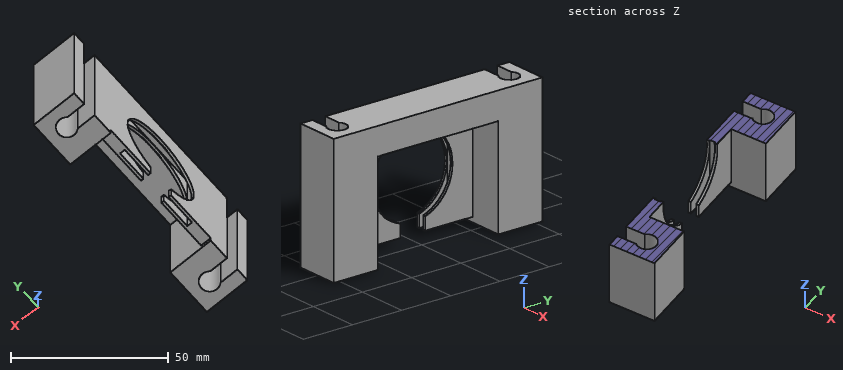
import cadquery as cq

depth = 17.0
width = 85.0
height = 49.5

bore_radius = 16.2
bore_height = 22.4
mouth_width = 10.0

web_thickness = 1.0
gap_depth = 1.95
gap_side_clearance = 0.25
gap_width = 2 * (bore_radius + gap_side_clearance)
rear_web_start = web_thickness + gap_depth
cavity_start = rear_web_start + web_thickness

recess_width = 49.0
recess_height = 2.0
cavity_top = bore_height + gap_width / 2

keyhole_offset = 35.0
keyhole_radius = 3.5
keyhole_center_depth = 9.4
keyhole_slot_width = 5.1


def cutter(x_start, x_end, y_width, z_top):
    """Box centred on Y that rises from the underside."""
    box = cq.Workplane("XY").box(x_end - x_start, y_width, z_top, centered=(False, True, False))
    return box.translate((x_start, 0, 0))


def keyhole(y_center):
    """Full-height round hole joined to the -X face by a straight slot."""
    hole = cq.Workplane("XY").center(keyhole_center_depth, y_center).circle(keyhole_radius).extrude(height)
    slot = cutter(0, keyhole_center_depth, keyhole_slot_width, height).translate((0, y_center, 0))
    return hole.union(slot)


body = cutter(0, depth, width, height)

body = body.cut(cutter(0, depth, recess_width, recess_height))
bore = cq.Workplane("YZ").center(0, bore_height).circle(bore_radius).extrude(depth)
body = body.cut(bore)
body = body.cut(cutter(0, depth, mouth_width, bore_height))

body = body.cut(cutter(web_thickness, rear_web_start, gap_width, cavity_top))
body = body.cut(cutter(cavity_start, depth, recess_width, cavity_top))

for side in (-1, 1):
    body = body.cut(keyhole(side * keyhole_offset))

result = body